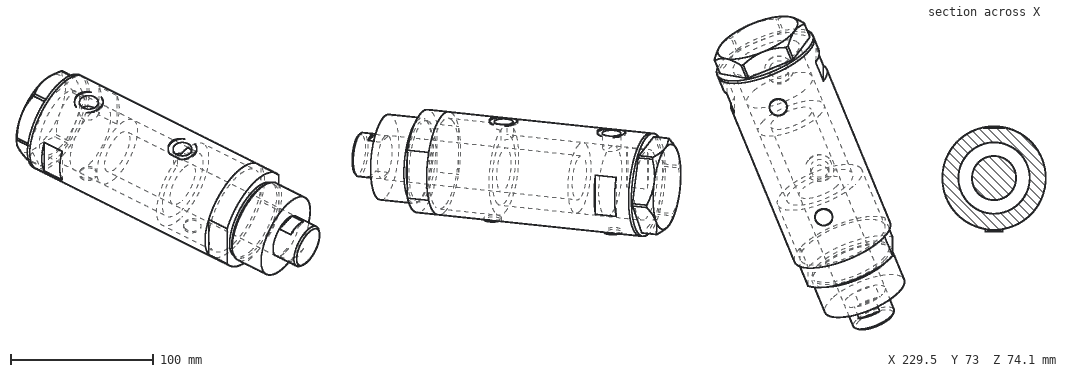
import cadquery as cq
import math


CAP_SHOULDER_X = 14.0
TUBE_START_X = 16.0
CAP_SPIGOT_END_X = 42.5
GLAND_INNER_X = 121.6
TUBE_END_X = 166.5
GLAND_COLLAR_END_X = 182.2
GLAND_END_X = 210.2
ROD_END_X = 229.5

BODY_RADIUS = 36.5
BORE_RADIUS = 25.0
GLAND_SEAT_RADIUS = 32.1
ROD_RADIUS = 15.5

HEX_ACROSS_FLATS = 60.1
HEX_CORNER_RADIUS = 34.2
HEX_CHAMFER_LENGTH = 3.5
HEX_TURN = -7.5

WRENCH_SLOT_START_X = 26.5
WRENCH_SLOT_END_X = 41.8
WRENCH_SLOT_HALF_WIDTH = 33.5
PORT_XS = (41.3, GLAND_INNER_X)
PORT_RADIUS = 6.7
PORT_FACE_RADIUS = 10.0
PORT_FACE_Z = 35.3
BOSS_XS = (40.5, 130.0)
BOSS_RADIUS = 6.2
BOSS_BOTTOM_Z = -37.6

COLLAR_FLAT_HALF_WIDTH = 32.0
THREAD_RADIUS = 30.3
RELIEF_RADIUS = 29.0
RELIEF_LENGTH = 1.8

PISTON_LENGTH = 23.0
ROD_FLAT_END_X = 219.9
ROD_FLAT_HALF_HEIGHT = 13.5
ROD_END_CHAMFER = 1.4


def cylinder_x(start_x, end_x, radius):
    """A cylinder around the X axis."""
    return cq.Workplane("YZ", origin=(start_x, 0, 0)).circle(radius).extrude(end_x - start_x)


def cylinder_z(center_x, bottom_z, top_z, radius):
    """A vertical cylinder at y = 0."""
    return cq.Workplane("XY", origin=(center_x, 0, bottom_z)).circle(radius).extrude(top_z - bottom_z)


def slab(start_x, end_x, half_y, half_z):
    """A box centred on the X axis."""
    length = end_x - start_x
    return cq.Workplane("XY").box(length, 2 * half_y, 2 * half_z).translate((start_x + length / 2, 0, 0))


def make_cap():
    """Hexagonal head, round flange and the spigot that closes the bore."""
    flat_radius = HEX_ACROSS_FLATS / 2
    hex_head = (
        cq.Workplane("YZ")
        .polygon(6, HEX_ACROSS_FLATS / math.cos(math.radians(30)))
        .extrude(CAP_SHOULDER_X)
        .rotate((0, 0, 0), (1, 0, 0), HEX_TURN)
    )
    turned_blank = (
        cq.Workplane("XY")
        .polyline([
            (0, 0),
            (0, flat_radius),
            (HEX_CHAMFER_LENGTH, HEX_CORNER_RADIUS),
            (CAP_SHOULDER_X, HEX_CORNER_RADIUS),
            (CAP_SHOULDER_X, 0),
        ])
        .close()
        .revolve(360, (0, 0, 0), (1, 0, 0))
    )
    flange = cylinder_x(CAP_SHOULDER_X, TUBE_START_X, BODY_RADIUS)
    spigot = cylinder_x(TUBE_START_X, CAP_SPIGOT_END_X, BORE_RADIUS)
    return hex_head.intersect(turned_blank).union(flange).union(spigot)


def make_tube():
    """Bored tube with wrench slots, two ports on top and two bosses underneath."""
    tube = cylinder_x(TUBE_START_X, TUBE_END_X, BODY_RADIUS)
    for boss_x in BOSS_XS:
        tube = tube.union(cylinder_z(boss_x, BOSS_BOTTOM_Z, 0, BOSS_RADIUS))
    for port_x in PORT_XS:
        tube = tube.cut(cylinder_z(port_x, PORT_FACE_Z, BODY_RADIUS, PORT_FACE_RADIUS))
        tube = tube.cut(cylinder_z(port_x, 0, BODY_RADIUS, PORT_RADIUS))

    slot_ring = slab(WRENCH_SLOT_START_X, WRENCH_SLOT_END_X, BODY_RADIUS, BODY_RADIUS)
    slot_core = slab(WRENCH_SLOT_START_X, WRENCH_SLOT_END_X, WRENCH_SLOT_HALF_WIDTH, BODY_RADIUS)
    tube = tube.cut(slot_ring.cut(slot_core))

    tube = tube.cut(cylinder_x(TUBE_START_X, TUBE_END_X, BORE_RADIUS))
    return tube.cut(cylinder_x(GLAND_INNER_X, TUBE_END_X, GLAND_SEAT_RADIUS))


def make_gland():
    """Plug inside the tube, collar with two flats, thread relief and thread blank."""
    plug = cylinder_x(GLAND_INNER_X, TUBE_END_X, GLAND_SEAT_RADIUS)
    collar = cylinder_x(TUBE_END_X, GLAND_COLLAR_END_X, BODY_RADIUS).intersect(
        slab(TUBE_END_X, GLAND_COLLAR_END_X, COLLAR_FLAT_HALF_WIDTH, BODY_RADIUS)
    )
    relief_end_x = GLAND_COLLAR_END_X + RELIEF_LENGTH
    relief = cylinder_x(GLAND_COLLAR_END_X, relief_end_x, RELIEF_RADIUS)
    thread = (
        cylinder_x(relief_end_x, GLAND_END_X, THREAD_RADIUS)
        .faces("<X")
        .chamfer(THREAD_RADIUS - RELIEF_RADIUS)
    )
    gland = plug.union(collar).union(relief).union(thread)
    return gland.cut(cylinder_x(GLAND_INNER_X, GLAND_END_X, ROD_RADIUS))


def make_rod():
    """Piston and rod, with two flats and a chamfer at the outer end."""
    piston = cylinder_x(CAP_SPIGOT_END_X, CAP_SPIGOT_END_X + PISTON_LENGTH, BORE_RADIUS)
    shaft = cylinder_x(CAP_SPIGOT_END_X, ROD_END_X, ROD_RADIUS).faces(">X").chamfer(ROD_END_CHAMFER)
    flat_ring = slab(GLAND_END_X, ROD_FLAT_END_X, ROD_RADIUS, ROD_RADIUS)
    flat_core = slab(GLAND_END_X, ROD_FLAT_END_X, ROD_RADIUS, ROD_FLAT_HALF_HEIGHT)
    return piston.union(shaft).cut(flat_ring.cut(flat_core))


cap = make_cap()
tube = make_tube()
gland = make_gland()
rod = make_rod()

result = cq.Compound.makeCompound([cap.val(), tube.val(), gland.val(), rod.val()])